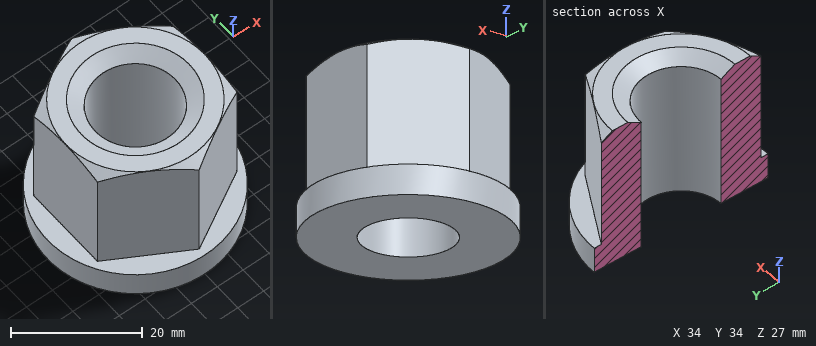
import cadquery as cq
import math

total_height = 27.0
flange_diameter = 34.0
flange_height = 5.0
across_flats = 27.0

bore_diameter = 15.5
countersink_diameter = 20.9
countersink_slope = math.radians(30)

top_face_diameter = 26.9
corner_chamfer_slope = math.radians(30)

across_corners = across_flats / math.cos(math.pi / 6)


def make_flange():
    """Round collar at the base."""
    return cq.Workplane("XY").circle(flange_diameter / 2).extrude(flange_height)


def make_hexagon():
    """Hexagonal body with two corners on the Y axis."""
    return (
        cq.Workplane("XY")
        .polygon(6, across_corners)
        .extrude(total_height)
        .rotate((0, 0, 0), (0, 0, 1), 90)
    )


def make_chamfer_envelope():
    """Revolved body, as wide as the flange, whose conical top trims the hexagon corners."""
    outer_radius = flange_diameter / 2
    top_radius = top_face_diameter / 2
    drop = (outer_radius - top_radius) * math.tan(corner_chamfer_slope)
    return (
        cq.Workplane("XZ")
        .moveTo(0, 0)
        .lineTo(outer_radius, 0)
        .lineTo(outer_radius, total_height - drop)
        .lineTo(top_radius, total_height)
        .lineTo(0, total_height)
        .close()
        .revolve(360, (0, 0), (0, 1))
    )


def make_bore():
    """Through bore with a countersink at the top, as one revolved cutter."""
    bore_radius = bore_diameter / 2
    countersink_radius = countersink_diameter / 2
    depth = (countersink_radius - bore_radius) * math.tan(countersink_slope)
    return (
        cq.Workplane("XZ")
        .moveTo(0, 0)
        .lineTo(bore_radius, 0)
        .lineTo(bore_radius, total_height - depth)
        .lineTo(countersink_radius, total_height)
        .lineTo(0, total_height)
        .close()
        .revolve(360, (0, 0), (0, 1))
    )


body = make_hexagon().intersect(make_chamfer_envelope())
result = body.union(make_flange()).cut(make_bore())